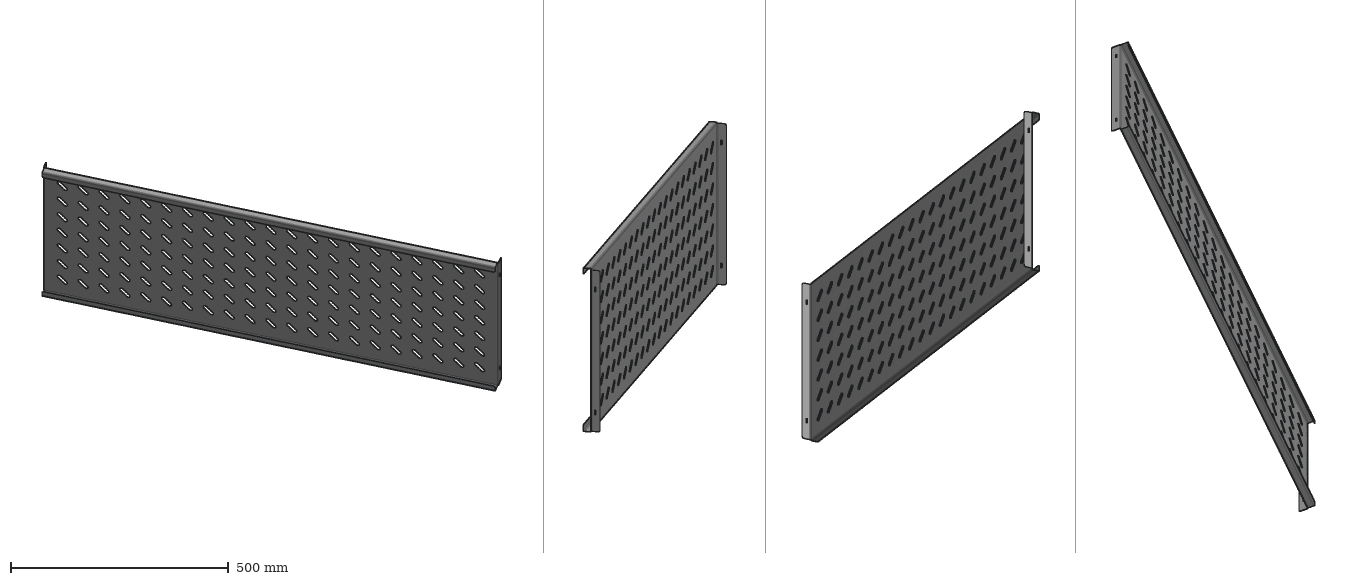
import cadquery as cq

length = 1092.0
depth = 41.0
height = 397.0

sheet = 1.5
bend_inside = 1.4
bend_outside = bend_inside + sheet

panel_front = 19.0
panel_back = panel_front + sheet
lip_height = 16.0
lip_chamfer = 3.0
channel_length = length - 2 * bend_outside

end_flange_height = 391.0
end_flange_corner = 5.0
flange_overlap = 3.0

slot_columns = 21
slot_rows = 7
slot_field_length = 1000.0
slot_pitch = slot_field_length / (slot_columns - 1)
slot_length = 31.0
slot_width = 8.5
slot_tilt = -45

mount_spacing = 298.0
mount_length = 11.0
mount_width = 3.0
mount_from_back = 12.0
upright = 90


def make_channel_panel():
    """Panel with forward webs and inward lips, as one bent strip along X."""
    outer = (
        cq.Workplane("YZ")
        .rect(panel_back, height)
        .extrude(channel_length / 2, both=True)
        .edges("|X")
        .fillet(bend_outside)
    )
    inner = (
        cq.Workplane("YZ")
        .rect(panel_back - 2 * sheet, height - 2 * sheet)
        .extrude(channel_length / 2, both=True)
        .edges("|X")
        .fillet(bend_inside)
    )
    mouth = (
        cq.Workplane("YZ")
        .center(-panel_back / 2, 0)
        .rect(panel_back, height - 2 * lip_height)
        .extrude(channel_length / 2, both=True)
    )
    return outer.cut(inner).cut(mouth).translate((0, panel_back / 2, 0))


def cut_lip_corners(body):
    """Bevel the free corners at both ends of each lip."""
    for side in (-1, 1):
        for end in (-1, 1):
            x_end = end * channel_length / 2
            z_free = side * (height / 2 - lip_height)
            corner = (
                cq.Workplane("XZ")
                .polyline([
                    (x_end, z_free),
                    (x_end - end * lip_chamfer, z_free),
                    (x_end, z_free + side * lip_chamfer),
                ])
                .close()
                .extrude(-sheet)
            )
            body = body.cut(corner)
    return body


def make_end_flange():
    """Angle that bends from the left end of the panel towards the back."""
    x_outer = -length / 2
    x_bend = x_outer + bend_outside
    x_overlap = x_bend + flange_overlap
    y_bend = panel_front + bend_outside
    profile = (
        cq.Workplane("XY")
        .moveTo(x_overlap, panel_front)
        .lineTo(x_bend, panel_front)
        .radiusArc((x_outer, y_bend), bend_outside)
        .lineTo(x_outer, depth)
        .lineTo(x_outer + sheet, depth)
        .lineTo(x_outer + sheet, y_bend)
        .radiusArc((x_bend, panel_back), -bend_inside)
        .lineTo(x_overlap, panel_back)
        .close()
    )
    flange = profile.extrude(end_flange_height / 2, both=True)
    flange = flange.edges("|X and >Y").fillet(end_flange_corner)
    mounts = (
        cq.Workplane("YZ", origin=(-length / 2, depth - mount_from_back, 0))
        .rarray(11, mount_spacing, 1, 2)
        .slot2D(mount_length, mount_width, upright)
        .extrude(sheet)
    )
    return flange.cut(mounts)


def make_slot_field():
    """Cutter for the grid of slanted slots."""
    return (
        cq.Workplane("XZ")
        .rarray(slot_pitch, slot_pitch, slot_columns, slot_rows)
        .slot2D(slot_length, slot_width, slot_tilt)
        .extrude(-depth)
    )


left_flange = make_end_flange()

result = cut_lip_corners(make_channel_panel())
result = result.union(left_flange).union(left_flange.mirror("YZ"))
result = result.cut(make_slot_field())